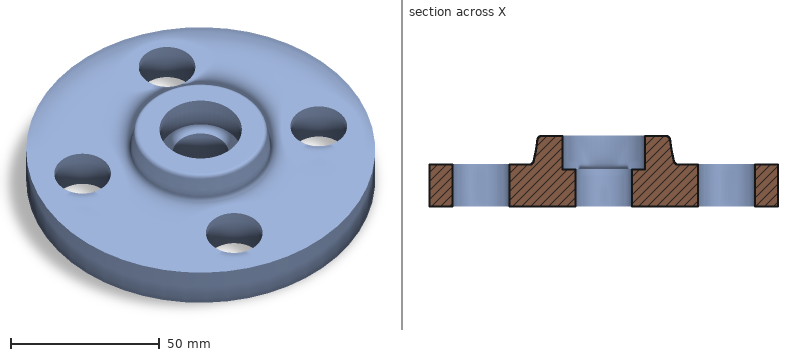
import cadquery as cq
import math

flange_diameter = 117.35
flange_thickness = 14.22
total_height = 23.88

hub_base_diameter = 47.75
hub_taper_angle = 10.0
hub_base_fillet = 1.5
hub_top_fillet = 1.5

bore_diameter = 18.9
socket_diameter = 27.7
socket_depth = 11.2

bolt_hole_count = 4
bolt_hole_diameter = 19.05
bolt_circle_diameter = 82.55

hub_height = total_height - flange_thickness
hub_top_radius = hub_base_diameter / 2 - hub_height * math.tan(math.radians(hub_taper_angle))


def make_plate():
    """Round flange plate resting on Z = 0."""
    return cq.Workplane("XY").circle(flange_diameter / 2).extrude(flange_thickness)


def make_hub():
    """Solid tapered hub standing on the plate's top face."""
    return (
        cq.Workplane("XZ")
        .moveTo(0, flange_thickness)
        .lineTo(hub_base_diameter / 2, flange_thickness)
        .lineTo(hub_top_radius, total_height)
        .lineTo(0, total_height)
        .close()
        .revolve(360, (0, 0, 0), (0, 1, 0))
    )


def round_hub(body):
    """Round the hub's top rim and the inner corner where the hub meets the plate."""
    hub_face = body.faces("%CONE")
    top_rim = hub_face.edges(">Z")
    foot_corner = hub_face.edges("<Z")
    body = body.newObject(top_rim.vals()).fillet(hub_top_fillet)
    return body.newObject(foot_corner.vals()).fillet(hub_base_fillet)


def cut_socket_and_bore(body):
    """Pipe socket from the top face, with a smaller bore through the rest."""
    hub_top = body.faces(">Z").workplane(origin=(0, 0, total_height))
    return hub_top.cboreHole(bore_diameter, socket_diameter, socket_depth)


def cut_bolt_holes(body):
    """Through holes evenly spaced on the bolt circle."""
    holes = (
        cq.Workplane("XY")
        .polarArray(bolt_circle_diameter / 2, 0, 360, bolt_hole_count)
        .circle(bolt_hole_diameter / 2)
        .extrude(flange_thickness)
    )
    return body.cut(holes)


flange = make_plate().union(make_hub())
flange = round_hub(flange)
flange = cut_socket_and_bore(flange)
result = cut_bolt_holes(flange)